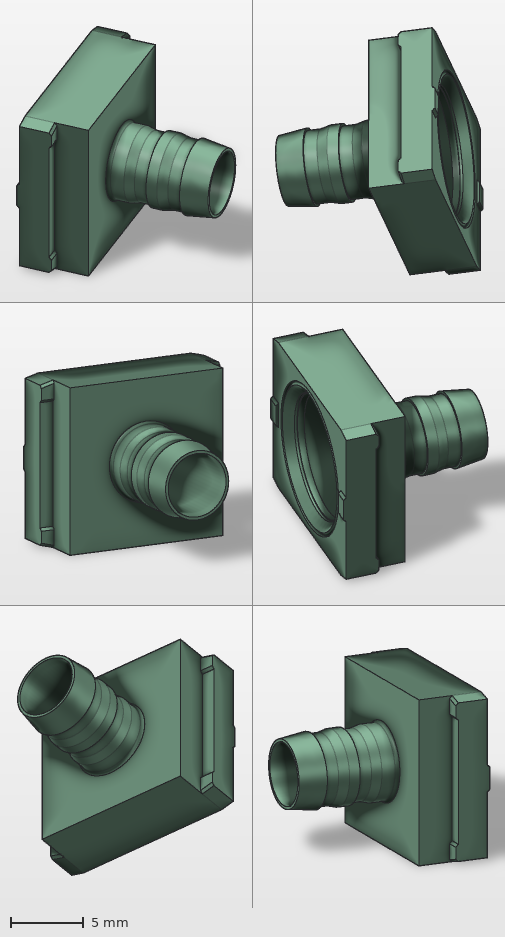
import cadquery as cq


FLANGE_SIDE = 11.9
FLANGE_THICKNESS = 4.74
OVERALL_WIDTH = 13.9
HALF_SIDE = FLANGE_SIDE / 2
HALF_WIDTH = OVERALL_WIDTH / 2
WING_THICKNESS = 2.21
WING_TAPER = 0.26
STEP = 0.2
TAB_HALF_HEIGHT = 0.99
PAD_INNER_Z = 4.45

BARB_RADIUS = 2.74
ROOT_RADIUS = 2.56
TIP_RADIUS = 2.46
FLARE_RADIUS = BARB_RADIUS + 0.15
FLARE_END = FLANGE_THICKNESS + 0.29
FIRST_BARB_END = 6.03
FIRST_ROOT_START = 6.74
SECOND_BARB_START = 7.69
SECOND_BARB_END = 8.49
SECOND_ROOT_START = 9.25
TIP_BARB_START = 10.19
TIP_X = 12.2

BORE_RADIUS = 2.25
CHAMBER_RADIUS = 4.48
CHAMBER_DEPTH = 1.33
FUNNEL_END = 2.67
SEAL_OUTER_RADIUS = 5.49
SEAL_CREST_RADIUS = 5.2
SEAL_INNER_RADIUS = 4.56
SEAL_DEPTH = 0.83


def revolve_about_x(profile):
    """Revolve a closed (X, radius) profile in the XY plane about the X axis."""
    return profile.close().revolve(360, (0, 0, 0), (1, 0, 0))


def wing_outline(half_height):
    """X-Z outline of a wing, with a front tab and two rear pads."""
    upper = [
        (-STEP, TAB_HALF_HEIGHT - STEP),
        (0, TAB_HALF_HEIGHT),
        (0, half_height),
        (WING_THICKNESS, half_height),
        (WING_THICKNESS + STEP, half_height - STEP),
        (WING_THICKNESS + STEP, PAD_INNER_Z + STEP),
        (WING_THICKNESS, PAD_INNER_Z),
    ]
    lower = [(x, -z) for x, z in reversed(upper)]
    return upper + lower


def make_wing(side):
    """Tapered wing on the +Y (side = 1) or -Y (side = -1) face of the flange."""
    sections = []
    for y, half_height in [(HALF_SIDE, HALF_SIDE), (HALF_WIDTH, HALF_SIDE - WING_TAPER)]:
        points = [cq.Vector(x, side * y, z) for x, z in wing_outline(half_height)]
        sections.append(cq.Wire.makePolygon(points, close=True))
    return cq.Workplane(cq.Solid.makeLoft(sections, True))


def make_nozzle():
    """Barbed nozzle with a concave flare where it meets the flange."""
    profile = (
        cq.Workplane("XY")
        .moveTo(TIP_X, 0)
        .lineTo(TIP_X, TIP_RADIUS)
        .lineTo(TIP_BARB_START, BARB_RADIUS)
        .lineTo(TIP_BARB_START, ROOT_RADIUS)
        .lineTo(SECOND_ROOT_START, ROOT_RADIUS)
        .lineTo(SECOND_BARB_END, BARB_RADIUS)
        .lineTo(SECOND_BARB_START, BARB_RADIUS)
        .lineTo(SECOND_BARB_START, ROOT_RADIUS)
        .lineTo(FIRST_ROOT_START, ROOT_RADIUS)
        .lineTo(FIRST_BARB_END, BARB_RADIUS)
        .lineTo(FLARE_END, BARB_RADIUS)
        .tangentArcPoint((FLANGE_THICKNESS, FLARE_RADIUS), relative=False)
        .lineTo(FLANGE_THICKNESS, 0)
    )
    return revolve_about_x(profile)


def make_flow_passage():
    """Seal recess, chamber, conical funnel and through bore."""
    profile = (
        cq.Workplane("XY")
        .lineTo(0, SEAL_OUTER_RADIUS)
        .lineTo(SEAL_DEPTH, SEAL_OUTER_RADIUS)
        .lineTo(SEAL_DEPTH, CHAMBER_RADIUS)
        .lineTo(CHAMBER_DEPTH, CHAMBER_RADIUS)
        .lineTo(FUNNEL_END, BORE_RADIUS)
        .lineTo(TIP_X, BORE_RADIUS)
        .lineTo(TIP_X, 0)
    )
    return revolve_about_x(profile)


def make_housing():
    flange = cq.Workplane("YZ").rect(FLANGE_SIDE, FLANGE_SIDE).extrude(FLANGE_THICKNESS)
    housing = flange.union(make_nozzle())
    for side in (1, -1):
        housing = housing.union(make_wing(side))
    return housing.cut(make_flow_passage()).solids()


def make_seal():
    """Sealing ring with 45 degree flanks on both sides of its front crest."""
    outer_flank_depth = SEAL_OUTER_RADIUS - SEAL_CREST_RADIUS
    inner_flank_depth = SEAL_CREST_RADIUS - SEAL_INNER_RADIUS
    profile = (
        cq.Workplane("XY")
        .moveTo(0, SEAL_CREST_RADIUS)
        .lineTo(outer_flank_depth, SEAL_OUTER_RADIUS)
        .lineTo(SEAL_DEPTH, SEAL_OUTER_RADIUS)
        .lineTo(SEAL_DEPTH, SEAL_INNER_RADIUS)
        .lineTo(inner_flank_depth, SEAL_INNER_RADIUS)
    )
    return revolve_about_x(profile)


housing = make_housing()
seal = make_seal()
result = cq.Compound.makeCompound([housing.val(), seal.val()])